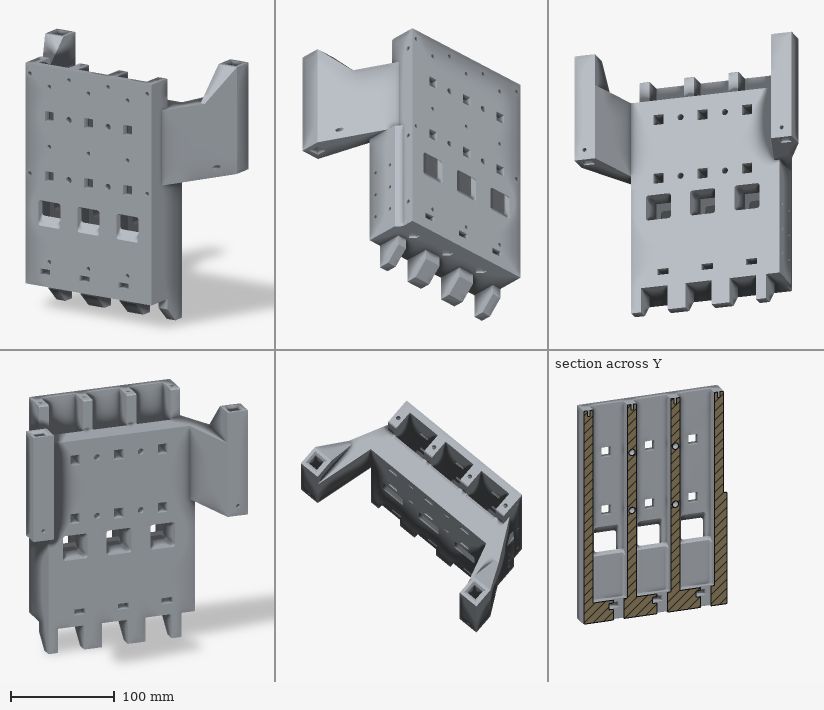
import cadquery as cq

total_width = 220.5
total_depth = 113.4
total_height = 247.0

plate_width = 145.2
plate_thick = 28.0
plate_bottom = 24.7
plate_top = 245.3
plate_edge_chamfer = 1.0
body_depth = 53.5
body_top = 215.5
pitch = 45.0
half_plate = plate_width / 2
column_xs = [-pitch, 0, pitch]
rib_xs = [-1.5 * pitch, -0.5 * pitch, 0.5 * pitch, 1.5 * pitch]

rail_width = 5.5
rail_front = 13.3

arm_bottom = 140.3
arm_root_front = 18.5
tower_side = 21.0
tower_hole = 10.4
tower_lead_in = 2.2
half_width = total_width / 2
tower_inner_x = half_width - tower_side
tower_front_y = total_depth - tower_side
arm_hole_x = 100.0
arm_hole_z = 150.2
arm_hole_dia = 4.0

pocket_width = 35.0
front_wall = 7.2
pocket_floor = 45.7
pocket_step = 3.0
pocket_radius = 3.2
pocket_lead_in = 3.0

window_size = 25.5
window_bottom = 85.0
window_rise = 8.5
window_radius = 2.7

drain_width = 10.4
drain_front = 14.5
drain_shoulder = 18.8
drain_offset = -9.0
slot_width = 11.4
slot_height = 6.0
slot_z = 39.3
slot_offset = -4.7
square_size = 10.1
opening_zs = [135.4, 195.5]

bolt_dia = 6.2
screw_dia = 4.2
screw_depth = 6.0
outer_screw_z = 135.4
rib_screw_z = 235.1
column_screw_zs = [50.0, 165.2, 225.3]
top_screw_y = 18.5
side_screw_y = 6.2
side_screw_zs = [49.6, 125.2, 225.0]
rail_screw_dia = 3.5
rail_screw_ys = [25.7, 45.7]
rail_screw_zs = [48.0, 72.9, 98.0]

hook_gap = 26.7
hook_end_width = 10.1
hook_gaps = 3
hook_slope = 14.3


def box(x_min, x_max, y_min, y_max, z_min, z_max):
    size = (x_max - x_min, y_max - y_min, z_max - z_min)
    return cq.Workplane("XY").box(*size, centered=False).translate((x_min, y_min, z_min))


def extrude_plan(points, z_min, z_max):
    """Extrude an XY outline between two heights."""
    return cq.Workplane("XY").workplane(offset=z_min).polyline(points).close().extrude(z_max - z_min)


def extrude_profile(points, x_min, x_max):
    """Extrude a YZ outline between two X positions."""
    return cq.Workplane("YZ").workplane(offset=x_min).polyline(points).close().extrude(x_max - x_min)


def drill_back(xs, zs, diameter, depth):
    """Holes running from the front face toward +Y."""
    points = [(x, z) for x in xs for z in zs]
    return cq.Workplane("XZ").pushPoints(points).circle(diameter / 2).extrude(-depth)


def drill_right(x_start, ys, zs, diameter):
    """Blind holes running from a -X side face toward +X."""
    points = [(y, z) for y in ys for z in zs]
    centers = cq.Workplane("YZ").workplane(offset=x_start).pushPoints(points)
    return centers.circle(diameter / 2).extrude(screw_depth)


def make_plate_and_body():
    plate = box(-half_plate, half_plate, 0, plate_thick, plate_bottom, plate_top)
    plate = plate.faces(">Z").edges(">Y").chamfer(plate_edge_chamfer)
    body = box(-half_plate, half_plate, plate_thick, body_depth, plate_bottom, body_top)
    return plate.union(body)


def make_rail():
    outer_x = -half_plate - rail_width
    outline = [
        (-half_plate, rail_front),
        (outer_x, rail_front + rail_width),
        (outer_x, body_depth),
        (-half_plate, body_depth),
    ]
    return extrude_plan(outline, plate_bottom, arm_bottom)


def make_arm():
    """Right-hand arm with its tower and the 45 degree slope in front of it."""
    outline = [
        (half_plate, arm_root_front),
        (half_width, tower_front_y),
        (half_width, total_depth),
        (tower_inner_x, total_depth),
        (half_plate, body_depth),
    ]
    arm = extrude_plan(outline, arm_bottom, body_top)

    slope_run = total_height - body_top
    tower_profile = [
        (total_depth, arm_bottom),
        (total_depth, total_height),
        (tower_front_y, total_height),
        (tower_front_y - slope_run, body_top),
        (tower_front_y - slope_run, arm_bottom),
    ]
    tower = extrude_profile(tower_profile, tower_inner_x, half_width)
    tower = tower.intersect(extrude_plan(outline, arm_bottom, total_height))

    center = (half_width - tower_side / 2, total_depth - tower_side / 2)
    bore = cq.Workplane("XY").center(*center).rect(tower_hole, tower_hole).extrude(total_height)
    mouth = tower_hole + 2 * tower_lead_in
    lead_in = (
        cq.Workplane("XY").workplane(offset=total_height).center(*center).rect(mouth, mouth)
        .workplane(offset=-tower_lead_in).rect(tower_hole, tower_hole).loft(combine=True)
    )
    arm_hole = drill_back([arm_hole_x], [arm_hole_z], arm_hole_dia, total_depth)
    return arm.union(tower).cut(bore).cut(lead_in).cut(arm_hole)


def make_hooks():
    """Four hooks whose lower front corner slopes at 45 degrees."""
    profile = [
        (plate_thick, plate_bottom),
        (plate_thick, hook_slope),
        (plate_thick + hook_slope, 0),
        (body_depth, 0),
        (body_depth, plate_bottom),
    ]
    hook_width = pitch - hook_gap
    last_start = half_plate - hook_end_width
    starts = [last_start - i * pitch for i in range(hook_gaps)]
    hooks = extrude_profile(profile, last_start, half_plate)
    for start in starts[1:]:
        hooks = hooks.union(extrude_profile(profile, start, start + hook_width))
    first_end = starts[-1] - hook_gap
    return hooks.union(extrude_profile(profile, first_end - hook_end_width, first_end))


def make_pocket(x):
    """Pocket open at the top; a 45 degree slope leads into a shallower part with rounded front corners."""
    half = pocket_width / 2
    lower_front = front_wall + pocket_step
    pocket = box(x - half, x + half, lower_front, plate_thick, pocket_floor, plate_top)
    pocket = pocket.edges("|Z and <Y").fillet(pocket_radius)

    slope_top = window_bottom + window_rise
    slope_run = pocket_step + pocket_radius
    upper_profile = [
        (front_wall, plate_top),
        (front_wall, slope_top),
        (front_wall + slope_run, slope_top - slope_run),
        (front_wall + slope_run, plate_top),
    ]
    pocket = pocket.union(extrude_profile(upper_profile, x - half, x + half))

    lead_in_profile = [
        (plate_thick, body_top - pocket_lead_in),
        (plate_thick + pocket_lead_in, body_top),
        (plate_thick, body_top),
    ]
    return pocket.union(extrude_profile(lead_in_profile, x - half, x + half))


def make_window(x):
    """Rounded opening, raised as it crosses the front wall and then straight to the back."""
    center_z = window_bottom + window_size / 2
    opening = cq.Sketch().rect(window_size, window_size).vertices().fillet(window_radius)
    front = opening.moved(cq.Location(cq.Vector(x, center_z, 0)))
    raised = opening.moved(cq.Location(cq.Vector(x, center_z + window_rise, -front_wall)))
    ramp = cq.Workplane("XZ").placeSketch(front, raised).loft()
    straight = (
        cq.Workplane("XZ").workplane(offset=-front_wall).center(x, center_z + window_rise)
        .placeSketch(opening).extrude(front_wall - body_depth)
    )
    return ramp.union(straight)


def make_drain(x):
    """Vertical five-sided passage from the pocket floor to the underside."""
    center = x + drain_offset
    half = drain_width / 2
    outline = [
        (center - half, drain_front),
        (center + half, drain_front),
        (center + half, drain_shoulder),
        (center, drain_shoulder + half),
        (center - half, drain_shoulder),
    ]
    return extrude_plan(outline, plate_bottom, pocket_floor)


def make_column_openings(x):
    openings = make_pocket(x).union(make_window(x)).union(make_drain(x))
    slot = cq.Workplane("XZ").center(x + slot_offset, slot_z).rect(slot_width, slot_height)
    openings = openings.union(slot.extrude(-body_depth))
    squares = cq.Workplane("XZ").pushPoints([(x, z) for z in opening_zs]).rect(square_size, square_size)
    return openings.union(squares.extrude(-body_depth))


right_arm = make_arm()
result = make_plate_and_body().union(make_rail()).union(make_hooks())
result = result.union(right_arm).union(right_arm.mirror("YZ"))

for column_x in column_xs:
    result = result.cut(make_column_openings(column_x))

result = result.cut(drill_back(rib_xs[1:3], opening_zs, bolt_dia, body_depth))
result = result.cut(drill_back(rib_xs, [rib_screw_z], screw_dia, screw_depth))
result = result.cut(drill_back([rib_xs[0], rib_xs[-1]], [outer_screw_z], screw_dia, screw_depth))
result = result.cut(drill_back(column_xs, column_screw_zs, screw_dia, screw_depth))

top_screws = cq.Workplane("XY").workplane(offset=plate_top).pushPoints([(x, top_screw_y) for x in rib_xs])
result = result.cut(top_screws.circle(screw_dia / 2).extrude(-screw_depth))
result = result.cut(drill_right(-half_plate, [side_screw_y], side_screw_zs, screw_dia))
result = result.cut(drill_right(-half_plate - rail_width, rail_screw_ys, rail_screw_zs, rail_screw_dia))